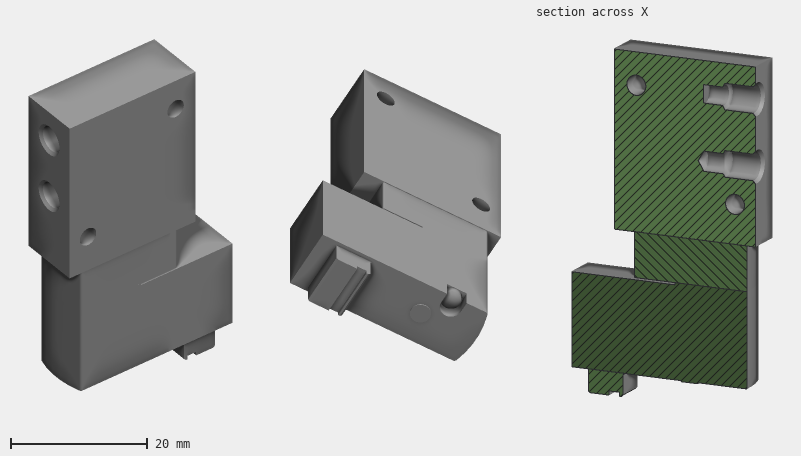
import cadquery as cq
import math


block_width = 10.0
block_depth = 23.0
top_z = 52.55
block_bottom_z = 25.2

port_z = 47.45
port_pitch = 10.2
port_bore = 4.15
port_mouth = 5.05
port_bore_depth = 5.0
passage_bore = 3.0
passage_end_depth = 8.4
passage_offset = 0.65
drill_point_angle = 118.0
drill_slope = math.tan(math.radians(drill_point_angle / 2))

mount_bore = 3.0
mount_centres = [(19.4, 47.45), (3.35, 31.3)]

body_width = 9.7
front_apex_y = 1.35
front_bulge = 0.8
front_corner_radius = 0.45
adapter_back_y = 19.75
adapter_back_radius = 0.25

housing_top_z = 18.3
housing_bottom_z = 3.55
housing_back_y = 29.9
relief_start_y = 13.15
relief_depth = 0.25

pad_diameter = 3.1
pad_height = 0.15
pad_y = 10.7

screw_x = -3.1
screw_y = 7.35
screw_diameter = 3.1
screw_end_z = 5.0
screw_dome_height = 0.5
recess_width = 3.3
recess_top_z = 8.4
slot_top_z = 6.15

plug_width = 8.4
plug_front_y = 21.55
plug_back_y = 27.2
plug_chamfer = 0.3
flare_width = 0.2
flare_height = 0.3
notch_front_y = 22.2
notch_width = 1.6
notch_depth = 0.65


def box(x_range, y_range, z_range):
    """Box between two limits on each axis."""
    lows, highs = zip(x_range, y_range, z_range)
    sizes = [high - low for low, high in zip(lows, highs)]
    return cq.Workplane("XY").box(*sizes, centered=False).translate(lows)


def across(width):
    """Limits of a width that is centred on the middle plane."""
    return (-width / 2, width / 2)


def revolved_cut(profile, x, z):
    """Turn (radius, depth) points about a line along +Y from the port face."""
    return (
        cq.Workplane("XY")
        .polyline(profile)
        .close()
        .revolve(360, (0, 0), (0, 1))
        .translate((x, 0, z))
    )


def port_cutter(z):
    """Countersunk port bore with a drill-point shoulder."""
    bore_radius = port_bore / 2
    mouth_radius = port_mouth / 2
    profile = [
        (0, 0),
        (mouth_radius, 0),
        (bore_radius, mouth_radius - bore_radius),
        (bore_radius, port_bore_depth),
        (0, port_bore_depth + bore_radius / drill_slope),
    ]
    return revolved_cut(profile, 0, z)


def passage_cutter(x, z, pointed):
    """Narrower passage behind a port, with a flat or a drill-point end."""
    radius = passage_bore / 2
    tip_depth = passage_end_depth
    if pointed:
        tip_depth += radius / drill_slope
    profile = [
        (0, port_bore_depth),
        (radius, port_bore_depth),
        (radius, passage_end_depth),
        (0, tip_depth),
    ]
    return revolved_cut(profile, x, z)


def make_block():
    block = box(across(block_width), (0, block_depth), (block_bottom_z, top_z))
    lower_port_z = port_z - port_pitch
    for z in (port_z, lower_port_z):
        block = block.cut(port_cutter(z))
    block = block.cut(passage_cutter(0, port_z, pointed=False))
    block = block.cut(passage_cutter(-passage_offset, lower_port_z, pointed=True))
    mount_holes = (
        cq.Workplane("YZ")
        .pushPoints(mount_centres)
        .circle(mount_bore / 2)
        .extrude(block_width, both=True)
    )
    return block.cut(mount_holes)


def bulged_body(back_y, bottom_z, height):
    """Upright body with a bulged front whose two corners are rounded."""
    half = body_width / 2
    corner_y = front_apex_y + front_bulge
    return (
        cq.Workplane("XY", origin=(0, 0, bottom_z))
        .moveTo(-half, corner_y)
        .threePointArc((0, front_apex_y), (half, corner_y))
        .lineTo(half, back_y)
        .lineTo(-half, back_y)
        .close()
        .extrude(height)
        .edges("|Z and (not >Y)")
        .fillet(front_corner_radius)
    )


def make_adapter():
    adapter = bulged_body(adapter_back_y, housing_top_z, block_bottom_z - housing_top_z)
    return adapter.edges("|Z and >Y").fillet(adapter_back_radius)


def upright_cylinder(diameter, x, y, bottom_z, end_z):
    return (
        cq.Workplane("XY", origin=(x, y, bottom_z))
        .circle(diameter / 2)
        .extrude(end_z - bottom_z)
    )


def make_housing():
    housing = bulged_body(housing_back_y, housing_bottom_z, housing_top_z - housing_bottom_z)
    relief = box(
        across(body_width),
        (relief_start_y, housing_back_y),
        (housing_top_z - relief_depth, housing_top_z),
    )
    recess = upright_cylinder(recess_width, screw_x, screw_y, housing_bottom_z, recess_top_z)
    slot = box(
        (-body_width / 2, screw_x),
        (screw_y - recess_width / 2, screw_y + recess_width / 2),
        (housing_bottom_z, slot_top_z),
    )
    pad = upright_cylinder(
        pad_diameter, 0, pad_y, housing_bottom_z - pad_height, housing_bottom_z
    )
    return housing.cut(relief).union(pad).cut(recess).cut(slot)


def make_screw():
    """Upright screw with a domed lower end."""
    radius = screw_diameter / 2
    dome_radius = (radius**2 + screw_dome_height**2) / (2 * screw_dome_height)
    dome = (
        cq.Workplane("XY")
        .sphere(dome_radius)
        .translate((screw_x, screw_y, screw_end_z + dome_radius))
    )
    dome_top_z = screw_end_z + screw_dome_height
    cap = upright_cylinder(screw_diameter, screw_x, screw_y, screw_end_z, dome_top_z)
    shank = upright_cylinder(screw_diameter, screw_x, screw_y, dome_top_z, recess_top_z)
    return shank.union(cap.intersect(dome))


def make_plug():
    """Plug with chamfered lower edges, a flared front root and a notch across its end."""
    plug = (
        cq.Workplane("YZ", origin=(-plug_width / 2, 0, 0))
        .moveTo(plug_front_y - flare_width, housing_bottom_z)
        .lineTo(plug_front_y, housing_bottom_z - flare_height)
        .lineTo(plug_front_y, 0)
        .lineTo(plug_back_y, 0)
        .lineTo(plug_back_y, housing_bottom_z)
        .close()
        .extrude(plug_width)
        .faces("<Z")
        .edges("|X")
        .chamfer(plug_chamfer)
    )
    notch = box(
        across(plug_width), (notch_front_y, notch_front_y + notch_width), (0, notch_depth)
    )
    return plug.cut(notch)


block = make_block()
adapter = make_adapter()
housing = make_housing()
screw = make_screw()
plug = make_plug()

result = cq.Compound.makeCompound(
    [block.val(), adapter.val(), housing.val(), screw.val(), plug.val()]
)